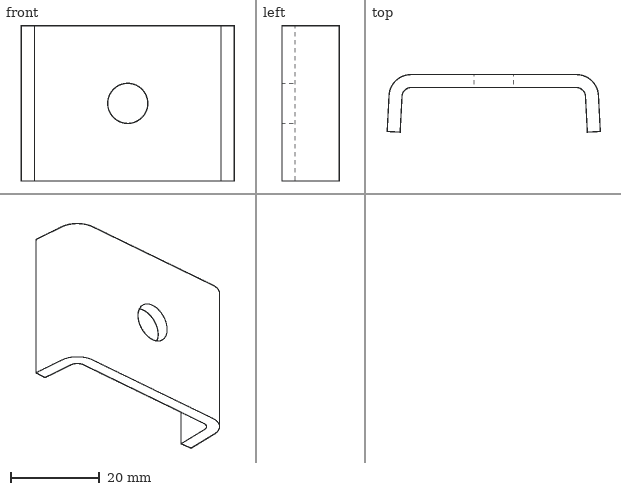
import cadquery as cq
import math

width = 48.05
depth = 13.0
height = 35.0
thickness = 3.0
outer_radius = 5.0
flare_angle = 3.0
hole_diameter = 9.0

inner_radius = outer_radius - thickness
flare_cos = math.cos(math.radians(flare_angle))
flare_sin = math.sin(math.radians(flare_angle))
leg_length = (depth - outer_radius + inner_radius * flare_sin) / flare_cos
bend_x = width / 2 - outer_radius * flare_cos - leg_length * flare_sin
back_y = depth / 2
bend_y = back_y - outer_radius
bend_mid_angle = math.radians(45 + flare_angle / 2)


def bend_point(radius, angle):
    """Point on the right-hand bend, angle in radians from +X."""
    return (bend_x + radius * math.cos(angle), bend_y + radius * math.sin(angle))


def leg_tip(radius):
    """Free end of the leg face tangent to the bend at the given radius."""
    x, y = bend_point(radius, math.radians(flare_angle))
    return (x + leg_length * flare_sin, y - leg_length * flare_cos)


def make_half_channel():
    """Right half of the bent sheet, from the centre plane to the leg tip."""
    leg_angle = math.radians(flare_angle)
    return (
        cq.Workplane("XY")
        .workplane(offset=-height / 2)
        .moveTo(0, back_y)
        .lineTo(bend_x, back_y)
        .threePointArc(bend_point(outer_radius, bend_mid_angle), bend_point(outer_radius, leg_angle))
        .lineTo(*leg_tip(outer_radius))
        .lineTo(*leg_tip(inner_radius))
        .lineTo(*bend_point(inner_radius, leg_angle))
        .threePointArc(
            bend_point(inner_radius, bend_mid_angle),
            (bend_x, back_y - thickness),
        )
        .lineTo(0, back_y - thickness)
        .close()
        .extrude(height)
    )


def make_hole():
    """Round cutter through the centre of the web, along Y."""
    return cq.Workplane("XZ").circle(hole_diameter / 2).extrude(depth, both=True)


half_channel = make_half_channel()
channel = half_channel.union(half_channel.mirror("YZ")).clean()
result = channel.cut(make_hole())